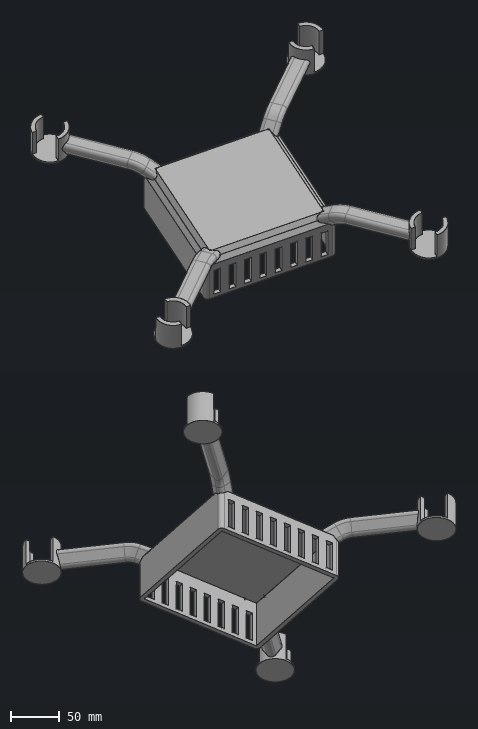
import cadquery as cq
import math

box_side = 150.0
box_height = 60.0
wall = 5.0
top_chamfer = 10.0
corner_radius = 5.0

lid_thickness = 5.0

slot_count = 8
slot_width = 7.5
slot_pitch = 17.5
slot_bottom = 5.0
slot_top = 40.0

arm_top = 70.5
arm_triangle_height = 24.5
arm_corner_radius = 5.0
elbow_angle = 30.0
elbow_radius = 38.0
elbow_start = 118.5
slope_length = 22.0

cup_radius = 20.0
cup_wall = 5.0
cup_x = 145.76
cup_y_right = 145.76
cup_y_left = 146.125
cup_bottom = 48.5
cup_floor = 51.0
cup_top = 83.0
tall_cup_bottom = 47.5
tall_cup_floor = 50.0
tall_cup_top = 85.0

cavity_side = box_side - 2 * wall
lid_bottom = box_height - lid_thickness
cup_bore_radius = cup_radius - cup_wall

tall_cup_center = (-cup_x, cup_y_left)
frame_cup_centers = [(-cup_x, -cup_y_left), (cup_x, -cup_y_right), (cup_x, cup_y_right)]


def block(side, height, bottom):
    """Square block centred on the Z axis."""
    return cq.Workplane("XY").workplane(offset=bottom).rect(side, side).extrude(height)


def cylinder(center, radius, bottom, top):
    """Upright cylinder between two heights."""
    return cq.Workplane("XY").workplane(offset=bottom).center(*center).circle(radius).extrude(top - bottom)


def chamfered_box():
    """Full outer envelope of the box and lid, with a flat bevel around the top."""
    envelope = block(box_side, box_height, 0).faces(">Z").edges().chamfer(top_chamfer)
    rounded = block(box_side, box_height, 0).edges("|Z").fillet(corner_radius)
    return envelope.intersect(rounded)


def lid():
    """Bevelled plate that closes the top of the box."""
    return chamfered_box().intersect(block(cavity_side, lid_thickness, lid_bottom))


def wall_slots():
    """Row of upright vents running through both X walls."""
    height = slot_top - slot_bottom
    return (
        cq.Workplane("YZ")
        .center(0, (slot_bottom + slot_top) / 2)
        .rarray(slot_pitch, 1, slot_count, 1)
        .rect(slot_width, height)
        .extrude(box_side, both=True)
    )


def arm_section(length):
    """Straight rounded triangular bar along +X, its flat top on the XY plane."""
    half_width = arm_triangle_height / math.sqrt(3)
    return (
        cq.Workplane("YZ")
        .polyline([(-half_width, 0), (half_width, 0), (0, -arm_triangle_height)])
        .close()
        .extrude(length)
        .edges("|X")
        .fillet(arm_corner_radius)
    )


def straight_arm(reach):
    """Arm along +X: a level bar, an elbow, and a slope down into the box corner."""
    level = arm_section(reach - elbow_start)
    bend_center = (0, 0, -elbow_radius)
    bend_axis_end = (0, -1, -elbow_radius)
    elbow = cq.Workplane(
        cq.Solid.revolve(
            level.faces("<X").val(),
            elbow_angle,
            cq.Vector(bend_center),
            cq.Vector(bend_axis_end),
        )
    )
    slope = arm_section(slope_length).translate((-slope_length, 0, 0))
    slope = slope.rotate(bend_center, bend_axis_end, elbow_angle)
    return level.union(elbow).union(slope).translate((elbow_start, 0, arm_top))


def placed_arm(center):
    """Arm reaching from the box corner to the motor cup at the given centre."""
    reach = math.hypot(*center)
    heading = math.degrees(math.atan2(center[1], center[0]))
    return straight_arm(reach).rotate((0, 0, 0), (0, 0, 1), heading)


def motor_cup(center, bottom, floor, top):
    """Round floor with two opposite quarter walls, one facing the box and one facing away."""
    x, y = center
    ring = cylinder(center, cup_radius, floor, top).cut(cylinder(center, cup_bore_radius, floor, top))
    cup = cylinder(center, cup_radius, bottom, floor)
    for side in (-1, 1):
        quadrant_center = (
            x + side * math.copysign(cup_radius / 2, x),
            y + side * math.copysign(cup_radius / 2, y),
        )
        quadrant = (
            cq.Workplane("XY")
            .workplane(offset=floor)
            .center(*quadrant_center)
            .rect(cup_radius, cup_radius)
            .extrude(top - floor)
        )
        cup = cup.union(ring.intersect(quadrant))
    return cup


def frame():
    """Open box with its four arms and the three cups made in one piece with it."""
    body = chamfered_box()
    for center in frame_cup_centers + [tall_cup_center]:
        arm = placed_arm(center).cut(cylinder(center, cup_radius, 0, tall_cup_top))
        body = body.union(arm)
    for center in frame_cup_centers:
        body = body.union(motor_cup(center, cup_bottom, cup_floor, cup_top))
    body = body.cut(block(cavity_side, lid_bottom, 0))
    return body.cut(wall_slots()).cut(lid())


frame_body = frame()
lid_body = lid()
tall_cup = motor_cup(tall_cup_center, tall_cup_bottom, tall_cup_floor, tall_cup_top)

bodies = [frame_body, lid_body, tall_cup]
result = cq.Compound.makeCompound([body.solids().val() for body in bodies])